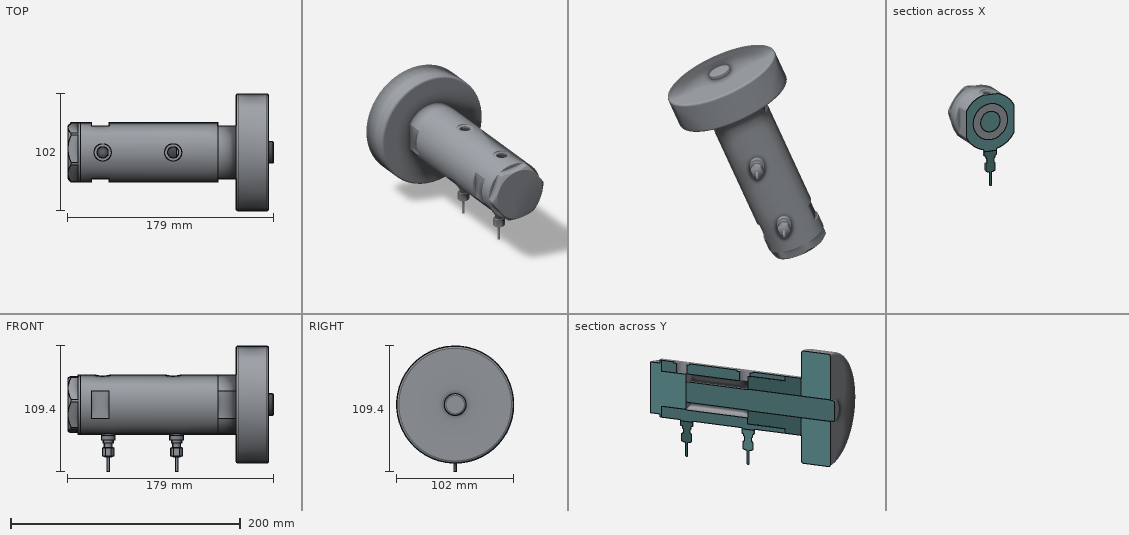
import cadquery as cq
import math


cap_hex_end = 8.8
housing_start = 11.1
housing_end = 130.7
disc_start = 146.5
disc_end = 174.7
rod_end = 179.0
cap_spigot_end = 34.7
gland_spigot_start = 94.5
sensor_stations = (35.0, 94.7)
port_stations = (30.3, 91.7)

body_dia = 52.0
bore_dia = 32.2
gland_spigot_dia = 43.0
rod_dia = 19.0
disc_dia = 102.0

flats_width = 46.0
flats_start = 20.5
flats_end = 35.8

cap_hex_width = 46.0
cap_face_dia = 45.8
cap_chamfer_length = 2.7
cap_turn = 7.7

disc_fillet = 2.0
rod_fillet = 1.5

port_dia = 9.7
spotface_dia = 15.0
spotface_depth = 1.0

sensor_dia = 12.2
boss_drop = 1.0
sensor_base_length = 4.0
collar_dia = 9.0
collar_length = 2.5
stem_dia = 7.0
stem_length = 3.8
nut_width = 9.0
nut_length = 8.6
nut_top_chamfer = 0.9
nut_top_dia = 7.9
nut_bottom_chamfer = 1.3
nut_bottom_dia = 4.7
cable_dia = 2.3
cable_tip_z = -58.4

body_radius = body_dia / 2
boss_face_z = -body_radius - boss_drop
spotface_z = body_radius - spotface_depth


def rod_along_x(diameter, start, end):
    """Round bar on the X axis."""
    return cq.Workplane("YZ", origin=(start, 0, 0)).circle(diameter / 2).extrude(end - start)


def rod_along_z(diameter, x, bottom, top):
    """Upright round bar at a station along X."""
    return cq.Workplane("XY", origin=(x, 0, bottom)).circle(diameter / 2).extrude(top - bottom)


def flats_cutter(start, end):
    """Two slabs that leave a pair of wrench flats facing -Y and +Y."""
    length = end - start
    slabs = cq.Workplane("XY", origin=((start + end) / 2, 0, 0)).box(length, 2 * body_dia, body_dia)
    return slabs.cut(cq.Workplane("XY", origin=((start + end) / 2, 0, 0)).box(length, flats_width, body_dia))


def make_cap():
    """Screw-in end cap: chamfered hexagon, round flange and spigot."""
    corner_dia = cap_hex_width / math.cos(math.pi / 6)
    hexagon = cq.Workplane("YZ").polygon(6, corner_dia).extrude(cap_hex_end)
    envelope = (
        cq.Workplane("XY")
        .moveTo(0, 0)
        .lineTo(0, cap_face_dia / 2)
        .lineTo(cap_chamfer_length, body_radius)
        .lineTo(cap_hex_end, body_radius)
        .lineTo(cap_hex_end, 0)
        .close()
        .revolve(360, (0, 0, 0), (1, 0, 0))
    )
    flange = rod_along_x(body_dia, cap_hex_end, housing_start)
    spigot = rod_along_x(bore_dia, housing_start, cap_spigot_end)
    cap = hexagon.intersect(envelope).union(flange).union(spigot)
    return cap.rotate((0, 0, 0), (1, 0, 0), -cap_turn)


def make_housing():
    """Cylinder tube with a stepped bore, wrench flats, two air ports and two sensor bosses."""
    tube = rod_along_x(body_dia, housing_start, housing_end)
    for x in sensor_stations:
        tube = tube.union(rod_along_z(sensor_dia, x, boss_face_z, 0))
    tube = tube.cut(flats_cutter(flats_start, flats_end))
    tube = tube.cut(rod_along_x(bore_dia, housing_start, gland_spigot_start))
    tube = tube.cut(rod_along_x(gland_spigot_dia, gland_spigot_start, housing_end))
    for x in port_stations:
        tube = tube.cut(rod_along_z(port_dia, x, 0, body_radius))
        tube = tube.cut(rod_along_z(spotface_dia, x, spotface_z, body_radius))
    return tube


def make_gland():
    """Front gland: neck with wrench flats, and a spigot that guides the piston rod."""
    neck = rod_along_x(body_dia, housing_end, disc_start).cut(flats_cutter(housing_end, disc_start))
    spigot = rod_along_x(gland_spigot_dia, gland_spigot_start, housing_end)
    return neck.union(spigot).cut(rod_along_x(rod_dia, gland_spigot_start, disc_start))


def make_disc():
    """Round disc with rounded rims, bored for the piston rod."""
    disc = rod_along_x(disc_dia, disc_start, disc_end).edges().fillet(disc_fillet)
    return disc.cut(rod_along_x(rod_dia, disc_start, disc_end))


def make_piston_rod():
    """Piston rod from the cap spigot to its rounded tip in front of the disc."""
    return rod_along_x(rod_dia, cap_spigot_end, rod_end).faces(">X").edges().fillet(rod_fillet)


def make_sensor(x):
    """Sensor hanging from a boss: stepped stem, hexagonal cable nut and cable."""
    base_bottom = boss_face_z - sensor_base_length
    collar_bottom = base_bottom - collar_length
    nut_top = collar_bottom - stem_length
    nut_bottom = nut_top - nut_length

    nut_corner_dia = nut_width / math.cos(math.pi / 6)
    nut = cq.Workplane("XY", origin=(x, 0, nut_bottom)).polygon(6, nut_corner_dia).extrude(nut_length)
    nut_envelope = (
        cq.Workplane("XZ", origin=(x, 0, 0))
        .moveTo(0, nut_bottom)
        .lineTo(nut_bottom_dia / 2, nut_bottom)
        .lineTo(nut_corner_dia / 2, nut_bottom + nut_bottom_chamfer)
        .lineTo(nut_corner_dia / 2, nut_top - nut_top_chamfer)
        .lineTo(nut_top_dia / 2, nut_top)
        .lineTo(0, nut_top)
        .close()
        .revolve(360, (0, 0, 0), (0, 1, 0))
    )
    sensor = nut.intersect(nut_envelope)
    for diameter, bottom, top in (
        (sensor_dia, base_bottom, boss_face_z),
        (collar_dia, collar_bottom, base_bottom),
        (stem_dia, nut_top, collar_bottom),
        (cable_dia, cable_tip_z, nut_bottom),
    ):
        sensor = sensor.union(rod_along_z(diameter, x, bottom, top))
    return sensor


cap = make_cap()
housing = make_housing()
gland = make_gland()
disc = make_disc()
piston_rod = make_piston_rod()
sensors = [make_sensor(x) for x in sensor_stations]

result = cq.Compound.makeCompound(
    [
        cap.val(),
        housing.val(),
        gland.val(),
        disc.val(),
        piston_rod.val(),
        *[sensor.val() for sensor in sensors],
    ]
)